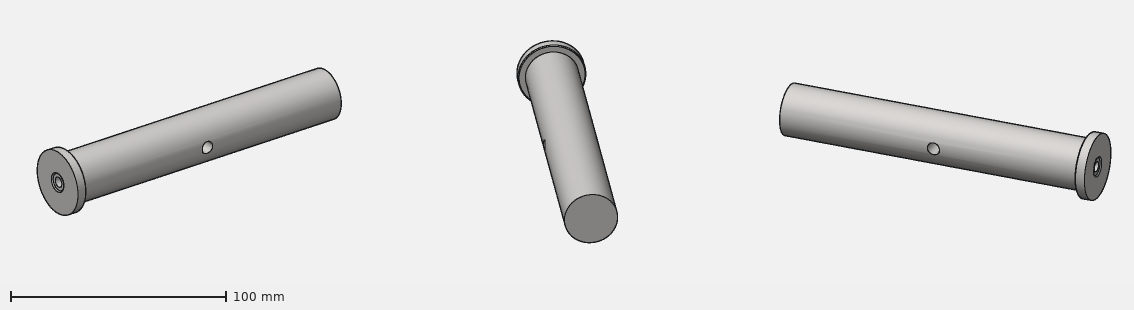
import cadquery as cq
import math

total_length = 155.0
head_diameter = 31.8
head_thickness = 5.0
head_chamfer = 0.5
shank_diameter = 25.0

cross_hole_diameter = 6.0

recess_mouth_diameter = 9.6
recess_floor_diameter = 8.4
recess_depth = (recess_mouth_diameter - recess_floor_diameter) / 2
drill_diameter = 5.0
drill_depth = total_length / 2 + cross_hole_diameter
drill_point_angle = 118.0

head_face_y = -total_length / 2


def make_pin():
    """Headed pin turned about the Y axis."""
    head_radius = head_diameter / 2
    shank_radius = shank_diameter / 2
    shoulder_y = head_face_y + head_thickness
    profile = (
        cq.Workplane("XY")
        .moveTo(0, head_face_y)
        .lineTo(head_radius, head_face_y)
        .lineTo(head_radius, shoulder_y - head_chamfer)
        .lineTo(head_radius - head_chamfer, shoulder_y)
        .lineTo(shank_radius, shoulder_y)
        .lineTo(shank_radius, total_length / 2)
        .lineTo(0, total_length / 2)
        .close()
    )
    return profile.revolve(360, (0, 0), (0, 1))


def make_axial_hole():
    """Tapered shallow recess followed by a drilled hole with a conical end."""
    drill_radius = drill_diameter / 2
    point_length = drill_radius / math.tan(math.radians(drill_point_angle / 2))
    recess_floor_y = head_face_y + recess_depth
    drill_end_y = head_face_y + drill_depth
    profile = (
        cq.Workplane("XY")
        .moveTo(0, head_face_y)
        .lineTo(recess_mouth_diameter / 2, head_face_y)
        .lineTo(recess_floor_diameter / 2, recess_floor_y)
        .lineTo(drill_radius, recess_floor_y)
        .lineTo(drill_radius, drill_end_y)
        .lineTo(0, drill_end_y + point_length)
        .close()
    )
    return profile.revolve(360, (0, 0), (0, 1))


def make_cross_hole():
    """Hole across the shank along X, halfway along the pin."""
    return (
        cq.Workplane("YZ")
        .circle(cross_hole_diameter / 2)
        .extrude(shank_diameter, both=True)
    )


result = make_pin().cut(make_axial_hole()).cut(make_cross_hole())